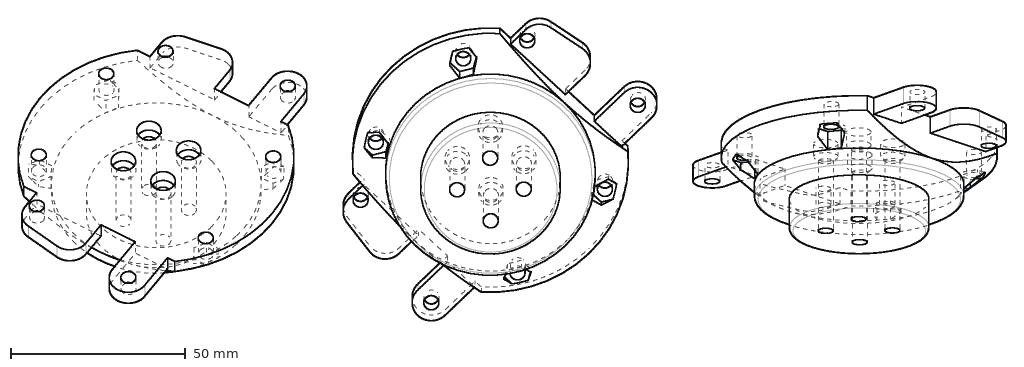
import cadquery as cq
import math

total_height = 26.65
plate_thickness = 4.5
cone_bottom_depth = 12.5
flange_bottom_depth = 17.0

plate_radius = 39.5
flange_radius = 30.0
boss_radius = 20.0
edge_rounding = 1.0
flat_half_width = 30.0

screw_diameter = 4.3
screw_head_diameter = 7.0
screw_head_straight_depth = 4.0
head_taper_depth = (screw_head_diameter - screw_diameter) / 2
center_hole_spacing = 13.5

rim_hole_x = 28.4
rim_hole_y = 17.85
nut_across_flats = 7.0
nut_pocket_roof_depth = 7.0

ear_thickness = 5.0
ear_corner_radius = 5.5
narrow_ear_x = 17.7
narrow_ear_hole_y = 42.16
wide_ear_outer_corner = (-15.85, 36.2)
wide_ear_inner_corner = (-4.9, 38.0)
wide_ear_hole = (-18.65, 34.05)


def make_body():
    """Plate, cone, flange and boss turned about Z, with the plate and cone cut to two flats."""
    profile = (
        cq.Workplane("XZ")
        .moveTo(0, 0)
        .lineTo(plate_radius, 0)
        .lineTo(plate_radius, -plate_thickness)
        .lineTo(flange_radius, -cone_bottom_depth)
        .lineTo(flange_radius, -flange_bottom_depth + edge_rounding)
        .tangentArcPoint((-edge_rounding, -edge_rounding))
        .lineTo(boss_radius, -flange_bottom_depth)
        .lineTo(boss_radius, -total_height + edge_rounding)
        .tangentArcPoint((-edge_rounding, -edge_rounding))
        .lineTo(0, -total_height)
        .close()
    )
    turned = profile.revolve(360, (0, 0, 0), (0, 1, 0))
    between_flats = cq.Workplane("XY").box(2 * plate_radius, 2 * flat_half_width, 2 * total_height)
    return turned.intersect(between_flats)


def make_narrow_ear():
    """Straight ear with a fully round end, on the +Y side."""
    left = narrow_ear_x - ear_corner_radius
    right = narrow_ear_x + ear_corner_radius
    return (
        cq.Workplane("XY")
        .moveTo(left, 0)
        .lineTo(right, 0)
        .lineTo(right, narrow_ear_hole_y)
        .threePointArc((narrow_ear_x, narrow_ear_hole_y + ear_corner_radius), (left, narrow_ear_hole_y))
        .close()
        .extrude(-ear_thickness)
    )


def on_corner(center, angle):
    """Point of a corner rounding at an angle (radians) from +X."""
    return (
        center[0] + ear_corner_radius * math.cos(angle),
        center[1] + ear_corner_radius * math.sin(angle),
    )


def make_wide_ear():
    """Ear with a sloped end and two rounded corners, on the +Y side."""
    outer = wide_ear_outer_corner
    inner = wide_ear_inner_corner
    end_slope = math.atan2(inner[1] - outer[1], inner[0] - outer[0])
    end_normal = math.pi / 2 + end_slope
    return (
        cq.Workplane("XY")
        .moveTo(outer[0] - ear_corner_radius, 0)
        .lineTo(inner[0] + ear_corner_radius, 0)
        .lineTo(*on_corner(inner, 0))
        .threePointArc(on_corner(inner, end_normal / 2), on_corner(inner, end_normal))
        .lineTo(*on_corner(outer, end_normal))
        .threePointArc(on_corner(outer, (end_normal + math.pi) / 2), on_corner(outer, math.pi))
        .close()
        .extrude(-ear_thickness)
    )


def make_through_holes():
    """Plain screw holes in the rim and in the ears."""
    places = [
        (narrow_ear_x, narrow_ear_hole_y),
        wide_ear_hole,
        (rim_hole_x, rim_hole_y),
        (-rim_hole_x, rim_hole_y),
    ]
    places += [(x, -y) for x, y in places]
    return cq.Workplane("XY").pushPoints(places).circle(screw_diameter / 2).extrude(-total_height)


def make_nut_pockets():
    """Hexagonal pockets under the rim holes, with corners along X, open through the cone."""
    across_corners = nut_across_flats / math.cos(math.pi / 6)
    return (
        cq.Workplane("XY")
        .workplane(offset=-nut_pocket_roof_depth)
        .rect(2 * rim_hole_x, 2 * rim_hole_y, forConstruction=True)
        .vertices()
        .polygon(6, across_corners)
        .extrude(nut_pocket_roof_depth - cone_bottom_depth)
    )


def make_center_holes():
    """Four screw holes through the boss, each with a recessed countersink."""
    taper_bottom = screw_head_straight_depth + head_taper_depth
    profile = (
        cq.Workplane("XZ")
        .lineTo(screw_head_diameter / 2, 0)
        .lineTo(screw_head_diameter / 2, -screw_head_straight_depth)
        .lineTo(screw_diameter / 2, -taper_bottom)
        .lineTo(screw_diameter / 2, -total_height)
        .lineTo(0, -total_height)
        .close()
    )
    hole = profile.revolve(360, (0, 0, 0), (0, 1, 0)).val()
    return (
        cq.Workplane("XY")
        .rect(center_hole_spacing, center_hole_spacing, forConstruction=True)
        .vertices()
        .eachpoint(lambda place: hole.located(place), combine=False)
    )


result = make_body()
for ear in (make_narrow_ear(), make_wide_ear()):
    result = result.union(ear).union(ear.mirror("XZ"))
result = result.cut(make_through_holes())
result = result.cut(make_nut_pockets())
for hole in make_center_holes().vals():
    result = result.cut(cq.Workplane(hole))